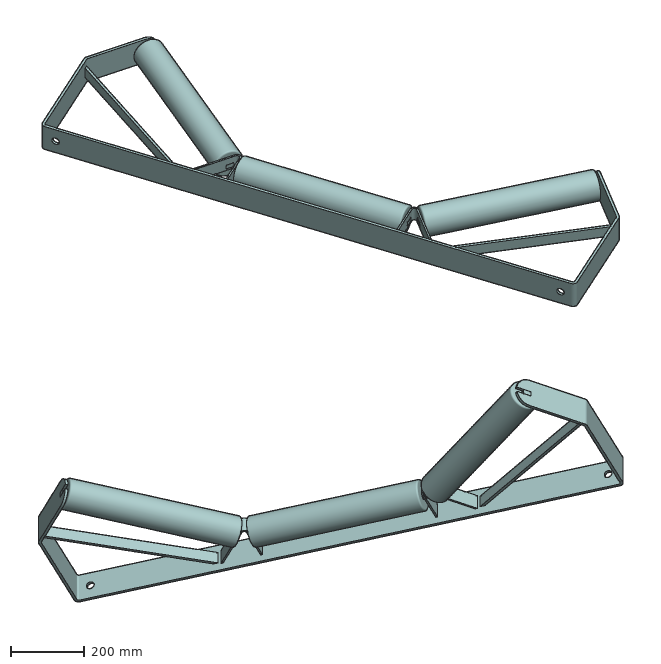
import cadquery as cq
import math

frame_length = 1600.0
frame_depth = 468.6
frame_height = 85.0
frame_thickness = 8.0
frame_bend_radius = 13.0
wall_depth = 300.0
arm_corner_radius = 40.0
mounting_hole_diameter = 22.0
mounting_hole_inset = 45.0

trough_angle = 40.0
roller_diameter = 89.0
roller_length = 500.0
roller_edge_radius = 5.0
shaft_diameter = 25.0
shaft_flats = 14.0
end_gap = 3.0
shoulder_clearance = 0.2
roller_drop = 10.77
centre_roller_y = 101.5
shaft_to_arm_tip = 32.58
side_roller_tilt = 0.78

bracket_thickness = 5.0
bracket_bend_radius = 12.0
bracket_height = 43.0

strut_thickness = 8.0
strut_height = 35.0
strut_foot_x = 389.0
strut_head_y = 290.0

half_length = frame_length / 2
mid_height = frame_height / 2
cos_trough = math.cos(math.radians(trough_angle))
sin_trough = math.sin(math.radians(trough_angle))
arm_length = (frame_depth - wall_depth) / cos_trough
centre_roller_z = roller_diameter / 2 - roller_drop


def on_right_arm(along, inward):
    """XY point measured along the right arm from its outside corner, and inward from its outer face."""
    x = half_length - along * sin_trough - inward * cos_trough
    y = wall_depth + along * cos_trough - inward * sin_trough
    return (x, y)


arm_shaft_along = arm_length - shaft_to_arm_tip
side_outer_inward = frame_thickness + end_gap
side_inner_inward = side_outer_inward + roller_length
side_roller_rise = roller_length * math.tan(math.radians(side_roller_tilt))
side_middle_x, side_middle_y = on_right_arm(arm_shaft_along, side_outer_inward + roller_length / 2)
side_middle_z = centre_roller_z + side_roller_rise / 2


def edge_near(point, z):
    """Selector for the edge whose middle is nearest to an XY point at height z."""
    return cq.selectors.NearestToPointSelector((point[0], point[1], z))


def bar_at_mid_height(points, height):
    """Prism of the outline, centred on the frame's height."""
    base = cq.Workplane("XY").workplane(offset=mid_height - height / 2)
    return base.polyline(points).close().extrude(height)


def mirrored(shape):
    """Copy of a right-hand shape on the left side."""
    return shape.mirror("YZ")


def both_sides(right_shape):
    return [right_shape, mirrored(right_shape)]


def place_on_right_side(shape):
    """Move a shape from the origin, axis along X, to the right side roller's place."""
    shape = shape.rotate((0, 0, 0), (0, 1, 0), -side_roller_tilt)
    shape = shape.rotate((0, 0, 0), (0, 0, 1), trough_angle)
    return shape.translate((side_middle_x, side_middle_y, side_middle_z))


def place_at_centre(shape):
    return shape.translate((0, centre_roller_y, centre_roller_z))


def x_cylinder(diameter, x_start, x_end):
    return cq.Workplane("YZ").workplane(offset=x_start).circle(diameter / 2).extrude(x_end - x_start)


def make_flatted_shaft(length):
    shaft = x_cylinder(shaft_diameter, -length / 2, length / 2)
    return shaft.intersect(cq.Workplane("XY").box(length, shaft_diameter, shaft_flats))


def make_roller(left_reach, right_reach):
    """Shell centred on the origin; the shaft is round across the gaps and flatted out to each reach."""
    half_shell = roller_length / 2
    shell = x_cylinder(roller_diameter, -half_shell, half_shell).edges().fillet(roller_edge_radius)
    shoulder_x = half_shell + end_gap - shoulder_clearance
    round_shaft = x_cylinder(shaft_diameter, -shoulder_x, shoulder_x)
    flatted_shaft = make_flatted_shaft(roller_length + left_reach + right_reach)
    flatted_shaft = flatted_shaft.translate(((right_reach - left_reach) / 2, 0, 0))
    return shell.union(round_shaft).union(flatted_shaft)


bracket_reach = end_gap + bracket_thickness
arm_reach = end_gap + frame_thickness
centre_roller = place_at_centre(make_roller(bracket_reach, bracket_reach))
right_roller = place_on_right_side(make_roller(bracket_reach, arm_reach))
side_rollers = both_sides(right_roller)

passage_length = roller_length + 4 * arm_reach
shaft_passage = make_flatted_shaft(passage_length)
right_shaft_passage = place_on_right_side(shaft_passage)
centre_shaft_passage = place_at_centre(shaft_passage)


def make_frame_half():
    inset = frame_thickness
    corner_shift = inset * math.tan(math.radians(trough_angle / 2))
    outline = [
        (0, 0),
        (half_length, 0),
        (half_length, wall_depth),
        on_right_arm(arm_length, 0),
        on_right_arm(arm_length, inset),
        (half_length - inset, wall_depth - corner_shift),
        (half_length - inset, inset),
        (0, inset),
    ]
    half = bar_at_mid_height(outline, frame_height)

    for outside_corner in (outline[1], outline[2]):
        half = half.edges(edge_near(outside_corner, mid_height)).fillet(frame_bend_radius)
    for inside_corner in (outline[5], outline[6]):
        half = half.edges(edge_near(inside_corner, mid_height)).fillet(frame_bend_radius - inset)
    arm_tip = on_right_arm(arm_length, inset / 2)
    for z in (0, frame_height):
        half = half.edges(edge_near(arm_tip, z)).fillet(arm_corner_radius)

    hole_x = half_length - mounting_hole_inset
    mounting_hole = (
        cq.Workplane("XZ")
        .center(hole_x, mid_height)
        .circle(mounting_hole_diameter / 2)
        .extrude(-2 * inset)
    )
    slot_length = 2 * shaft_to_arm_tip
    slot = cq.Workplane("XY").box(4 * arm_reach, slot_length, shaft_flats)
    slot = place_on_right_side(slot.translate((roller_length / 2, slot_length / 2, 0)))
    return half.cut(mounting_hole).cut(slot).cut(right_shaft_passage)


frame_half = make_frame_half()
frame = frame_half.union(mirrored(frame_half))


upright_face_x = roller_length / 2 + end_gap
slope_face_inward = side_inner_inward + end_gap


def slope_at_y(y, inward):
    """X where the plane at the given inward distance crosses y."""
    along = (y - wall_depth + inward * sin_trough) / cos_trough
    return on_right_arm(along, inward)[0]


def bracket_peak(offset):
    """Sharp corner of the bracket's two faces, set in from the outer faces by offset."""
    x = upright_face_x + offset
    inward = slope_face_inward + offset
    along = (half_length - x - inward * cos_trough) / sin_trough
    return on_right_arm(along, inward)


def make_right_bracket():
    foot_y = frame_thickness
    inside_peak = bracket_peak(bracket_thickness)
    points = [
        (upright_face_x, foot_y),
        bracket_peak(0),
        (slope_at_y(foot_y, slope_face_inward), foot_y),
        (slope_at_y(foot_y, slope_face_inward + bracket_thickness), foot_y),
        inside_peak,
        (upright_face_x + bracket_thickness, foot_y),
    ]
    bracket = bar_at_mid_height(points, bracket_height)
    inside_radius = bracket_bend_radius - bracket_thickness
    bracket = bracket.edges(edge_near(bracket_peak(0), mid_height)).fillet(bracket_bend_radius)
    bracket = bracket.edges(edge_near(inside_peak, mid_height)).fillet(inside_radius)
    return bracket.cut(right_shaft_passage).cut(centre_shaft_passage)


brackets = both_sides(make_right_bracket())


def make_right_strut():
    foot_y = frame_thickness
    head_x = half_length - frame_thickness
    angle = math.atan2(strut_head_y - foot_y, head_x - strut_foot_x)
    half_foot = strut_thickness / 2 / math.sin(angle)
    half_head = strut_thickness / 2 / math.cos(angle)
    points = [
        (strut_foot_x - half_foot, foot_y),
        (strut_foot_x + half_foot, foot_y),
        (head_x, strut_head_y - half_head),
        (head_x, strut_head_y + half_head),
    ]
    return bar_at_mid_height(points, strut_height)


struts = both_sides(make_right_strut())

bodies = [frame, centre_roller] + side_rollers + brackets + struts
result = cq.Compound.makeCompound([body.solids().val() for body in bodies])